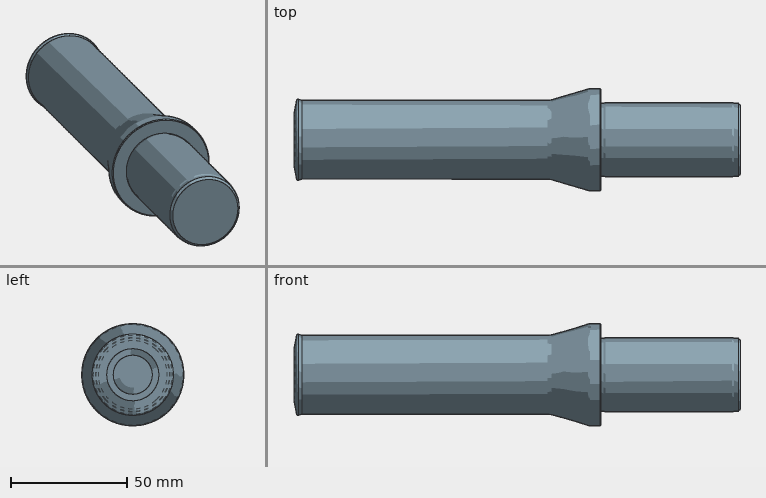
import cadquery as cq
import math

REACH = 132.0
SHANK_LENGTH = 60.0

TIP_DIAMETER = 35.0
BODY_DIAMETER = 34.0
COLLAR_DIAMETER = 44.0
SHANK_DIAMETER = 32.0
SHANK_RELIEF_DIAMETER = 31.5

CREST_SETBACK = 1.9
BACK_TAPER_LENGTH = 1.5
TIP_LENGTH = CREST_SETBACK + BACK_TAPER_LENGTH
INNER_CREST_RADIUS = 5.6
OUTER_CREST_RADIUS = 2 * INNER_CREST_RADIUS
VALLEY_RADIUS = (INNER_CREST_RADIUS + OUTER_CREST_RADIUS) / 2
WAVE_DEPTH = 0.55
SHOULDER_RADIUS = 15.55
RIM_SLOPE = math.radians(11.5)
RIM_ROUND = 0.8

FLANGE_LENGTH = 5.0
CONE_LENGTH = 17.0
CONE_ROOT_FILLET = 6.0
CONE_TOP_FILLET = 3.0
FLANGE_CHAMFER = 0.4

NECK_LENGTH = 1.1
RELIEF_TAPER_LENGTH = 0.9
END_RELIEF_LENGTH = 2.7
END_CHAMFER = 1.0

SELECTION_MARGIN = 0.1

TIP_FRONT_X = -REACH
TIP_BACK_X = TIP_FRONT_X + TIP_LENGTH
CONE_TOP_X = -FLANGE_LENGTH
CONE_ROOT_X = CONE_TOP_X - CONE_LENGTH


def revolve_about_x(outline):
    """Close an outline drawn in the XY plane and turn it around the X axis."""
    return outline.close().revolve(360, (0, 0, 0), (1, 0, 0))


def ring_edge(x, diameter):
    """A selector for the circular edge of this diameter at x."""
    half_width = diameter / 2 + SELECTION_MARGIN
    low = (x - SELECTION_MARGIN, -half_width, -half_width)
    high = (x + SELECTION_MARGIN, half_width, half_width)
    return cq.selectors.BoxSelector(low, high, boundingbox=True)


def make_cutting_tip():
    tip_radius = TIP_DIAMETER / 2
    crest_x = TIP_FRONT_X + CREST_SETBACK

    round_centre_radius = tip_radius - RIM_ROUND

    def point_on_round(angle):
        return (
            crest_x - RIM_ROUND * math.cos(angle),
            round_centre_radius + RIM_ROUND * math.sin(angle),
        )

    round_start = point_on_round(RIM_SLOPE)
    round_middle = point_on_round((RIM_SLOPE + math.pi / 2) / 2)
    shoulder_x = round_start[0] - (round_start[1] - SHOULDER_RADIUS) * math.tan(RIM_SLOPE)

    outline = (
        cq.Workplane("XY")
        .moveTo(TIP_BACK_X, 0)
        .lineTo(TIP_FRONT_X + WAVE_DEPTH, 0)
        .lineTo(TIP_FRONT_X, INNER_CREST_RADIUS)
        .lineTo(TIP_FRONT_X + WAVE_DEPTH, VALLEY_RADIUS)
        .lineTo(TIP_FRONT_X, OUTER_CREST_RADIUS)
        .lineTo(shoulder_x, SHOULDER_RADIUS)
        .lineTo(*round_start)
        .threePointArc(round_middle, (crest_x, tip_radius))
        .lineTo(TIP_BACK_X, BODY_DIAMETER / 2)
    )
    return revolve_about_x(outline)


def make_holder():
    body_radius = BODY_DIAMETER / 2
    collar_radius = COLLAR_DIAMETER / 2
    shank_radius = SHANK_DIAMETER / 2
    relief_radius = SHANK_RELIEF_DIAMETER / 2
    end_relief_x = SHANK_LENGTH - END_RELIEF_LENGTH

    outline = cq.Workplane("XY").polyline([
        (TIP_BACK_X, 0),
        (TIP_BACK_X, body_radius),
        (CONE_ROOT_X, body_radius),
        (CONE_TOP_X, collar_radius),
        (-FLANGE_CHAMFER, collar_radius),
        (0, collar_radius - FLANGE_CHAMFER),
        (0, relief_radius),
        (NECK_LENGTH, relief_radius),
        (NECK_LENGTH + RELIEF_TAPER_LENGTH, shank_radius),
        (end_relief_x - RELIEF_TAPER_LENGTH, shank_radius),
        (end_relief_x, relief_radius),
        (SHANK_LENGTH - END_CHAMFER, relief_radius),
        (SHANK_LENGTH, relief_radius - END_CHAMFER),
        (SHANK_LENGTH, 0),
    ])
    holder = revolve_about_x(outline)

    holder = holder.edges(ring_edge(CONE_ROOT_X, BODY_DIAMETER)).fillet(CONE_ROOT_FILLET)
    holder = holder.edges(ring_edge(CONE_TOP_X, COLLAR_DIAMETER)).fillet(CONE_TOP_FILLET)
    return holder


cutting_tip = make_cutting_tip()
holder = make_holder()

result = cq.Compound.makeCompound([cutting_tip.val(), holder.val()])